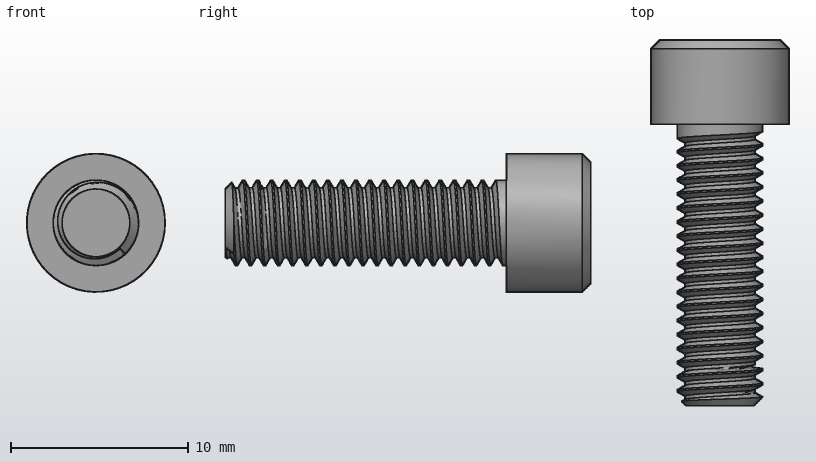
import cadquery as cq
import math

INCH = 25.4

head_diameter = 7.82
head_height = 0.188 * INCH
head_chamfer = 0.5

major_diameter = 0.190 * INCH
shank_length = 0.625 * INCH
tip_chamfer = 0.5
threads_per_inch = 32

pitch = INCH / threads_per_inch
flank_angle = math.radians(30)
triangle_height = pitch * math.cos(flank_angle)
thread_depth = 5 / 8 * triangle_height
crest_flat = pitch / 8
root_flat = pitch / 4
thread_length = shank_length - tip_chamfer
groove_width = pitch - crest_flat

major_radius = major_diameter / 2
root_radius = major_radius - thread_depth

cutter_overhang = 0.04


def make_head():
    """Plain cylindrical head with a chamfered outer rim, rising from the bearing face."""
    blank = cq.Workplane("XZ").circle(head_diameter / 2).extrude(-head_height)
    return blank.faces(">Y").chamfer(head_chamfer)


def make_shank_blank():
    """Unthreaded shank running from the bearing face to a chamfered tip."""
    blank = cq.Workplane("XZ").circle(major_radius).extrude(shank_length)
    return blank.faces("<Y").chamfer(tip_chamfer)


def make_groove_cutter():
    """Right-hand helical groove that starts on the -X side with its edge on the bearing face."""
    groove_middle = groove_width / 2
    outer_radius = major_radius + cutter_overhang
    outer_half_width = groove_width / 2 + cutter_overhang * math.tan(flank_angle)
    profile = (
        cq.Workplane("XZ")
        .moveTo(root_radius, groove_middle - root_flat / 2)
        .lineTo(root_radius, groove_middle + root_flat / 2)
        .lineTo(outer_radius, groove_middle + outer_half_width)
        .lineTo(outer_radius, groove_middle - outer_half_width)
        .close()
    )
    path = cq.Workplane(obj=cq.Wire.makeHelix(pitch, thread_length, root_radius))
    cutter = profile.sweep(path, isFrenet=True)

    cutter = cutter.rotate((0, 0, 0), (0, 0, 1), 180)
    return cutter.rotate((0, 0, 0), (1, 0, 0), 90)


threaded_shank = make_shank_blank().cut(make_groove_cutter(), clean=False)
screw = make_head().union(threaded_shank, clean=False)
result = screw.solids()